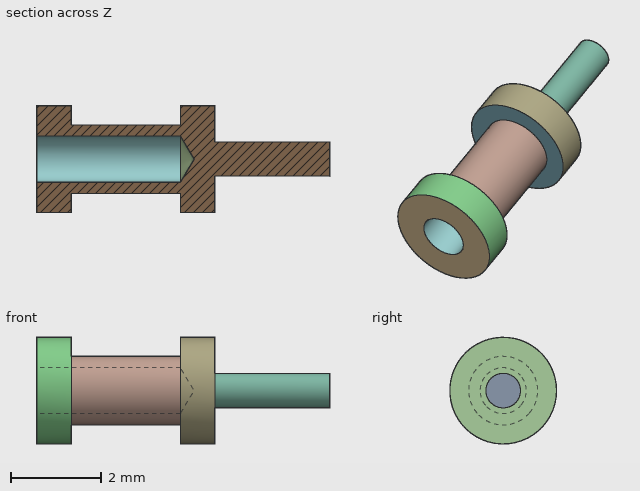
import cadquery as cq
import math

total_length = 6.48
flange_diameter = 2.365
flange_width = 0.765
barrel_diameter = 1.52
barrel_length = 2.41
pin_diameter = 0.765
bore_diameter = 1.02
drill_point_angle = 118.0

front_face = -total_length / 2
barrel_start = front_face + flange_width
rear_flange_start = barrel_start + barrel_length
pin_start = rear_flange_start + flange_width
pin_length = total_length / 2 - pin_start


def cylinder(start, length, diameter):
    """Solid cylinder along +X, beginning at x = start."""
    return cq.Workplane("YZ", origin=(start, 0, 0)).circle(diameter / 2).extrude(length)


def blind_bore():
    """Drilled bore whose straight wall ends level with the rear flange."""
    radius = bore_diameter / 2
    tip_length = radius / math.tan(math.radians(drill_point_angle / 2))
    profile = [
        (front_face, 0),
        (front_face, radius),
        (rear_flange_start, radius),
        (rear_flange_start + tip_length, 0),
    ]
    return cq.Workplane("XY").polyline(profile).close().revolve(360, (0, 0, 0), (1, 0, 0))


front_flange = cylinder(front_face, flange_width, flange_diameter)
barrel = cylinder(barrel_start, barrel_length, barrel_diameter)
rear_flange = cylinder(rear_flange_start, flange_width, flange_diameter)
pin = cylinder(pin_start, pin_length, pin_diameter)

result = front_flange.union(barrel).union(rear_flange).union(pin).cut(blind_bore())